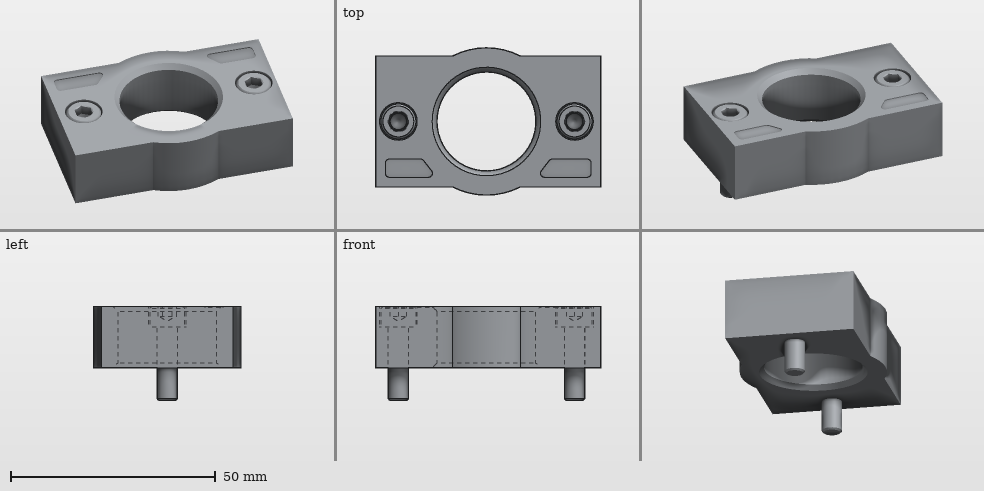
import cadquery as cq
import math

plate_length = 55.0
plate_width = 32.0
plate_height = 15.0
plate_offset = 0.45
plate_left = plate_offset - plate_length / 2
plate_right = plate_offset + plate_length / 2
boss_diameter = 36.0

bore_diameter = 24.1
bore_chamfer = 1.2

screw_spacing = 43.0
screw_x_positions = (-screw_spacing / 2, screw_spacing / 2)
shank_diameter = 5.0
shank_projection = 8.0
tip_diameter = 4.1
tip_chamfer = (shank_diameter - tip_diameter) / 2
head_diameter = 8.5
head_height = 5.0
head_chamfer = 0.5
counterbore_diameter = 9.2
socket_across_flats = 4.0
socket_turn = 30
socket_across_corners = socket_across_flats / math.cos(math.pi / 6)
socket_depth = 2.5
socket_cone_height = 1.15
socket_mouth_diameter = 4.7
socket_mouth_slope = 30
socket_mouth_depth = socket_mouth_diameter / 2 * math.tan(math.radians(socket_mouth_slope))
seat_z = plate_height - head_height

pocket_inset = 2.35
pocket_width = 4.45
pocket_depth = 0.3
pocket_corner_radius = 1.0
pocket_slant_inner_x = 15.6
pocket_slant_outer_x = 12.15
pocket_outer_y = -plate_width / 2 + pocket_inset
pocket_inner_y = pocket_outer_y + pocket_width


def make_pocket(edge_x, side):
    """Cutter for one label pocket; side is -1 for the -X pocket and +1 for the +X one."""
    end_x = edge_x - side * pocket_inset
    outline = [
        (end_x, pocket_outer_y),
        (side * pocket_slant_outer_x, pocket_outer_y),
        (side * pocket_slant_inner_x, pocket_inner_y),
        (end_x, pocket_inner_y),
    ]
    return (
        cq.Workplane("XY", origin=(0, 0, plate_height - pocket_depth))
        .polyline(outline)
        .close()
        .extrude(pocket_depth)
        .edges("|Z")
        .fillet(pocket_corner_radius)
    )


def make_plate():
    """Rectangular plate with a round boss, chamfered bore, screw holes and label pockets."""
    block = (
        cq.Workplane("XY")
        .center(plate_offset, 0)
        .rect(plate_length, plate_width)
        .extrude(plate_height)
    )
    boss = cq.Workplane("XY").circle(boss_diameter / 2).extrude(plate_height)
    body = block.union(boss)

    body = body.faces(">Z").workplane(origin=(0, 0, 0)).hole(bore_diameter)
    bore_edges = body.faces("<Z or >Z").edges("%CIRCLE").edges(cq.selectors.RadiusNthSelector(0))
    body = bore_edges.chamfer(bore_chamfer)

    screw_centres = [(x, 0) for x in screw_x_positions]
    body = (
        body.faces(">Z")
        .workplane(origin=(0, 0, 0))
        .pushPoints(screw_centres)
        .cboreHole(shank_diameter, counterbore_diameter, head_height)
    )
    return body.cut(make_pocket(plate_left, -1)).cut(make_pocket(plate_right, 1))


def make_inverted_cone(x, top_z, diameter, height):
    """Cone on a screw axis, pointing down from a round top face."""
    apex = cq.Vector(x, 0, top_z - height)
    return cq.Workplane(cq.Solid.makeCone(0, diameter / 2, height, pnt=apex))


def make_screw(x):
    """Socket head screw with its head sunk flush into the plate."""
    shank = (
        cq.Workplane("XY", origin=(x, 0, -shank_projection))
        .circle(shank_diameter / 2)
        .extrude(shank_projection + seat_z)
        .faces("<Z")
        .chamfer(tip_chamfer)
    )
    head = (
        cq.Workplane("XY", origin=(x, 0, seat_z))
        .circle(head_diameter / 2)
        .extrude(head_height)
        .faces(">Z")
        .chamfer(head_chamfer)
    )
    socket = (
        cq.Workplane("XY", origin=(x, 0, plate_height - socket_depth))
        .transformed(rotate=(0, 0, socket_turn))
        .polygon(6, socket_across_corners)
        .extrude(socket_depth)
    )
    drill_point = make_inverted_cone(x, plate_height - socket_depth, socket_across_flats, socket_cone_height)
    mouth = make_inverted_cone(x, plate_height, socket_mouth_diameter, socket_mouth_depth)
    return shank.union(head).cut(socket).cut(drill_point).cut(mouth)


plate = make_plate()
screws = [make_screw(x) for x in screw_x_positions]

result = cq.Compound.makeCompound([plate.val(), *[screw.val() for screw in screws]])